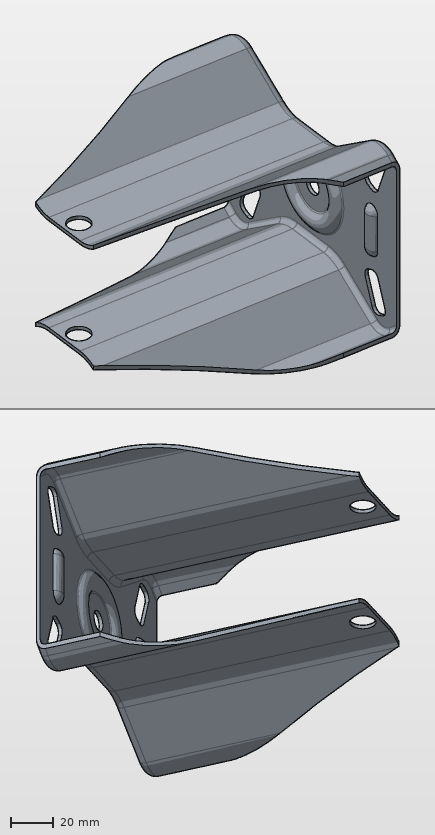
import cadquery as cq
import math

pick_margin = 0.1

width = 135.0
depth = 148.5
height = 110.0
sheet = 2.0
bend_inner_radius = 2.75
bend_outer_radius = bend_inner_radius + sheet

slope_angle = math.radians(33.5)
edge_angle = math.radians(36.8)
waist_half_width = 12.5
valley_radius = 20.0
crest_x = 56.5
crest_radius = 13.2
side_trim = 5.0
profile_half_width = width / 2 + side_trim

straight_side_length = 33.3
free_end_half_width = 23.2
side_arc_sagitta = 2.4

axle_hole_diameter = 12.5
axle_hole_end_distance = 8.5

pin_hole_diameter = 10.2
bead_height = 3.0
ring_crest_radius = 19.3
ring_foot_half_width = 5.3
ring_foot_fillet = 1.0

bead_x = 47.6
bead_half_length = 10.0
bead_half_width = 4.75

slot_x = 50.2
slot_z = 34.4
slot_width = 11.0
slot_length = 23.5
slot_corner_radius = 4.0
slot_tilt = 21.0


def flange_outline(inset):
    """Closed XZ outline of the upper right quarter of the section, moved inward by inset."""
    valley = valley_radius + inset
    crest = crest_radius - inset
    sin_full = math.sin(slope_angle)
    cos_full = math.cos(slope_angle)
    sin_half = math.sin(slope_angle / 2)
    cos_half = math.cos(slope_angle / 2)
    crest_center_z = height / 2 - crest_radius

    crest_start = (crest_x - crest * sin_full, crest_center_z + crest * cos_full)
    crest_end = (crest_x + crest * math.sin(edge_angle), crest_center_z + crest * math.cos(edge_angle))
    crest_top = (crest_x, crest_center_z + crest)
    valley_end_x = waist_half_width + valley * sin_full
    valley_end_z = crest_start[1] - (crest_start[0] - valley_end_x) * math.tan(slope_angle)
    waist_z = valley_end_z - valley * (1 - cos_full)
    valley_middle = (waist_half_width + valley * sin_half, waist_z + valley * (1 - cos_half))
    edge_drop = (profile_half_width - crest_end[0]) * math.tan(edge_angle)
    edge_z = crest_end[1] - edge_drop

    return (
        cq.Workplane("XZ")
        .moveTo(0, 0)
        .lineTo(0, waist_z)
        .lineTo(waist_half_width, waist_z)
        .threePointArc(valley_middle, (valley_end_x, valley_end_z))
        .lineTo(*crest_start)
        .threePointArc(crest_top, crest_end)
        .lineTo(profile_half_width, edge_z)
        .lineTo(profile_half_width, 0)
        .close()
    )


def section_block(inset, back_y, back_radius):
    """Solid filling the whole section over one depth from back_y, its back edges rounded."""
    quarter = flange_outline(inset).extrude(depth).translate((0, back_y, 0))
    half = quarter.union(quarter.mirror("YZ"))
    block = half.union(half.mirror("XY")).clean()
    end_selector = cq.selectors.BoxSelector(
        (-width / 2, back_y - pick_margin, -height),
        (width / 2, back_y + pick_margin, height),
    )
    return block.edges(end_selector).fillet(back_radius)


def plan_trim():
    """Plan outline of the part, extruded through the full height."""
    side = width / 2
    run_x = side - free_end_half_width
    run_y = depth - straight_side_length
    chord = math.hypot(run_x, run_y)
    arc_middle_x = (side + free_end_half_width) / 2 - side_arc_sagitta * run_y / chord
    arc_middle_y = -(depth + straight_side_length) / 2 + side_arc_sagitta * run_x / chord
    return (
        cq.Workplane("XY")
        .moveTo(-side, 0)
        .lineTo(side, 0)
        .lineTo(side, -straight_side_length)
        .threePointArc((arc_middle_x, arc_middle_y), (free_end_half_width, -depth))
        .lineTo(-free_end_half_width, -depth)
        .threePointArc((-arc_middle_x, arc_middle_y), (-side, -straight_side_length))
        .close()
        .extrude(height, both=True)
    )


def bent_sheet():
    """Back plate with an upper and a lower flange bent forward from it."""
    outer = section_block(0, 0, bend_outer_radius)
    inner = section_block(sheet, -sheet, bend_inner_radius)
    return outer.cut(inner).intersect(plan_trim())


def add_ring_bead(body):
    """Ring-shaped bead with a round cross-section around the pin hole."""
    ring = (
        cq.Workplane("XY")
        .moveTo(ring_crest_radius - ring_foot_half_width, -sheet)
        .threePointArc(
            (ring_crest_radius, -sheet - bead_height),
            (ring_crest_radius + ring_foot_half_width, -sheet),
        )
        .lineTo(ring_crest_radius + ring_foot_half_width, -sheet / 2)
        .lineTo(ring_crest_radius - ring_foot_half_width, -sheet / 2)
        .close()
        .revolve(360, (0, 0, 0), (0, 1, 0))
    )
    reach = ring_crest_radius + ring_foot_half_width + pick_margin
    foot_selector = cq.selectors.BoxSelector(
        (-reach, -sheet - pick_margin, -reach),
        (reach, -sheet + pick_margin, reach),
        boundingbox=True,
    )
    return body.union(ring).edges(foot_selector).fillet(ring_foot_fillet)


def add_straight_beads(body):
    """Upright beads with round cross-section and ball-shaped ends."""
    radius = (bead_half_width ** 2 + bead_height ** 2) / (2 * bead_height)
    axis_y = -sheet - bead_height + radius
    front_space = cq.Workplane("XY").box(width, depth, height).translate((0, -(depth + sheet) / 2, 0))
    for x in (-bead_x, bead_x):
        bead = (
            cq.Workplane("XY", origin=(x, axis_y, -bead_half_length))
            .circle(radius)
            .extrude(2 * bead_half_length)
        )
        for z in (-bead_half_length, bead_half_length):
            bead = bead.union(cq.Workplane("XY", origin=(x, axis_y, z)).sphere(radius))
        body = body.union(bead.intersect(front_space))
    return body


def cut_slots(body):
    """Four slanted slots, mirrored about both centre planes."""
    for x_sign in (-1, 1):
        for z_sign in (-1, 1):
            slot = (
                cq.Workplane("XZ")
                .rect(slot_width, slot_length)
                .extrude(sheet)
                .edges("|Y")
                .fillet(slot_corner_radius)
                .rotate((0, 0, 0), (0, 1, 0), x_sign * z_sign * slot_tilt)
                .translate((x_sign * slot_x, 0, z_sign * slot_z))
            )
            body = body.cut(slot)
    return body


def cut_holes(body):
    """Pin hole in the plate and aligned axle holes near the flange ends."""
    pin_hole = cq.Workplane("XZ").circle(pin_hole_diameter / 2).extrude(sheet)
    axle_holes = (
        cq.Workplane("XY")
        .center(0, axle_hole_end_distance - depth)
        .circle(axle_hole_diameter / 2)
        .extrude(height, both=True)
    )
    return body.cut(pin_hole).cut(axle_holes)


body = bent_sheet()
body = add_ring_bead(body)
body = add_straight_beads(body)
body = cut_slots(body)
result = cut_holes(body)